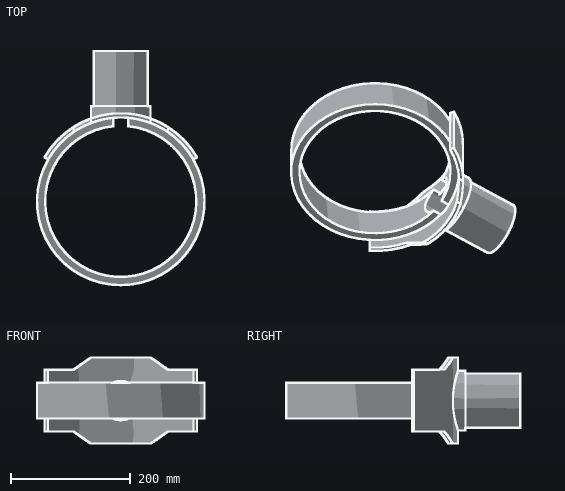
import cadquery as cq
import math

ring_outer_radius = 140.0
ring_inner_radius = 126.0
ring_height = 60.2

saddle_outer_radius = 147.0
saddle_half_angle = 60
saddle_height = 144.0
saddle_end_height = 103.2
saddle_crest_half_width = 50.0
saddle_shoulder_half_width = 79.0

overall_length = 391
pipe_end = overall_length - ring_outer_radius
pipe_radius = 45.5
collar_radius = 50.0
collar_end = 159.0
bore_radius = 32.5


def ring_band(outer_radius, inner_radius, height):
    """Ring about the Z axis, centred on the XY plane."""
    band = cq.Workplane("XY").circle(outer_radius).circle(inner_radius).extrude(height / 2, both=True)
    return band


def branch_cylinder(radius, end):
    """Cylinder from the ring axis along +Y."""
    return cq.Workplane("XZ").circle(radius).extrude(-end)


def make_saddle():
    """Curved plate with radial ends and a raised crest above and below."""
    band = ring_band(saddle_outer_radius, ring_outer_radius, saddle_height)

    sector_reach = 2 * saddle_outer_radius
    sector_x = sector_reach * math.sin(math.radians(saddle_half_angle))
    sector_y = sector_reach * math.cos(math.radians(saddle_half_angle))
    sector = (
        cq.Workplane("XY")
        .polyline([(0, 0), (sector_x, sector_y), (0, sector_reach), (-sector_x, sector_y)])
        .close()
        .extrude(saddle_height / 2, both=True)
    )

    crest_z = saddle_height / 2
    shoulder_z = saddle_end_height / 2
    upper_right = [
        (saddle_outer_radius, shoulder_z),
        (saddle_shoulder_half_width, shoulder_z),
        (saddle_crest_half_width, crest_z),
    ]
    upper_edge = upper_right + [(-x, z) for x, z in reversed(upper_right)]
    lower_edge = [(x, -z) for x, z in reversed(upper_edge)]
    outline = (
        cq.Workplane("XZ")
        .polyline(upper_edge + lower_edge)
        .close()
        .extrude(-saddle_outer_radius)
    )
    return band.intersect(sector).intersect(outline)


def make_branch():
    """Pipe and collar, trimmed to the outside of the ring."""
    branch = branch_cylinder(pipe_radius, pipe_end).union(branch_cylinder(collar_radius, collar_end))
    ring_envelope = cq.Workplane("XY").circle(ring_outer_radius).extrude(saddle_height / 2, both=True)
    return branch.cut(ring_envelope)


ring = ring_band(ring_outer_radius, ring_inner_radius, ring_height)
bore = branch_cylinder(bore_radius, pipe_end)
result = ring.union(make_saddle()).union(make_branch()).cut(bore)